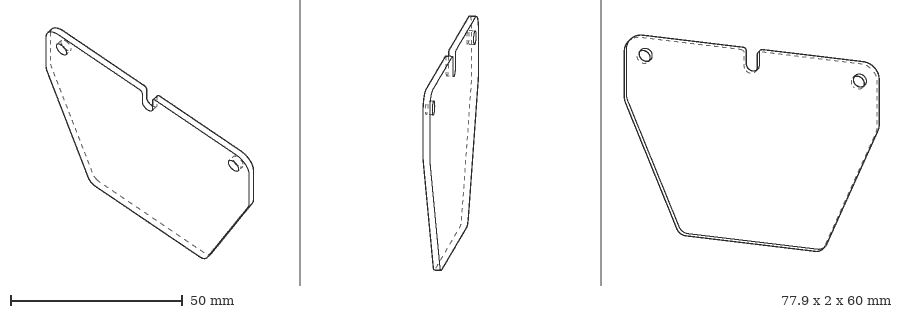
import cadquery as cq

width = 77.9
height = 60.0
thickness = 2.0
bottom_width = 43.95
straight_side_height = 20.0
side_radius = 5.0
bottom_radius = 3.0

hole_diameter = 4.0
hole_spacing = 66.0
hole_drop = 6.0

notch_width = 4.0
notch_depth = 7.0
notch_mouth_radius = 1.0

top_z = height / 2
bottom_z = -height / 2
taper_z = top_z - straight_side_height
notch_round_z = top_z - notch_depth + notch_width / 2


def round_edges(body, x, z, radius):
    """Round the through-thickness edges at (+x, z) and (-x, z)."""
    for side in (-1, 1):
        selector = cq.selectors.NearestToPointSelector((side * x, 0, z))
        body = body.edges("|Y").edges(selector).fillet(radius)
    return body


plate = (
    cq.Workplane("XZ")
    .polyline([
        (-width / 2, top_z),
        (width / 2, top_z),
        (width / 2, taper_z),
        (bottom_width / 2, bottom_z),
        (-bottom_width / 2, bottom_z),
        (-width / 2, taper_z),
    ])
    .close()
    .extrude(thickness / 2, both=True)
)

notch = (
    cq.Workplane("XZ")
    .moveTo(-notch_width / 2, top_z)
    .lineTo(-notch_width / 2, notch_round_z)
    .threePointArc((0, top_z - notch_depth), (notch_width / 2, notch_round_z))
    .lineTo(notch_width / 2, top_z)
    .close()
    .extrude(thickness, both=True)
)
plate = plate.cut(notch)

plate = round_edges(plate, width / 2, top_z, side_radius)
plate = round_edges(plate, width / 2, taper_z, side_radius)
plate = round_edges(plate, bottom_width / 2, bottom_z, bottom_radius)
plate = round_edges(plate, notch_width / 2, top_z, notch_mouth_radius)

holes = (
    cq.Workplane("XZ", origin=(0, 0, top_z - hole_drop))
    .pushPoints([(-hole_spacing / 2, 0), (hole_spacing / 2, 0)])
    .circle(hole_diameter / 2)
    .extrude(thickness, both=True)
)
result = plate.cut(holes)